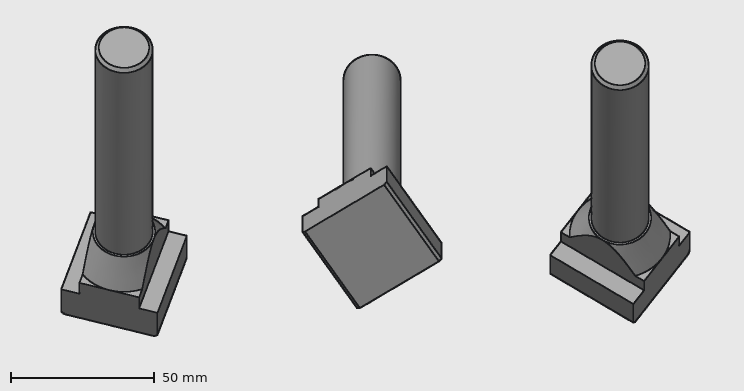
import cadquery as cq

total_height = 139.0
head_width = 35.0
head_height = 14.0
head_chamfer = 1.1
neck_width = 21.7
neck_top = 20.5
shoulder_top = 32.0
shank_diameter = 20.0
shank_chamfer = 1.3

head = (
    cq.Workplane("XY")
    .box(head_width, head_width, head_height, centered=(True, True, False))
    .edges("|Y and <Z")
    .chamfer(head_chamfer)
)

neck = cq.Workplane("XY").box(neck_width, head_width, neck_top, centered=(True, True, False))

cone = (
    cq.Workplane("XY", origin=(0, 0, neck_top))
    .circle(head_width / 2)
    .workplane(offset=shoulder_top - neck_top)
    .circle(neck_width / 2)
    .loft(ruled=True)
)
neck_envelope = cq.Workplane("XY").box(neck_width, head_width, shoulder_top, centered=(True, True, False))
shoulder = cone.intersect(neck_envelope)

shank = (
    cq.Workplane("XY", origin=(0, 0, head_height))
    .circle(shank_diameter / 2)
    .extrude(total_height - head_height)
    .faces(">Z")
    .edges()
    .chamfer(shank_chamfer)
)

result = head.union(neck).union(shoulder).union(shank)